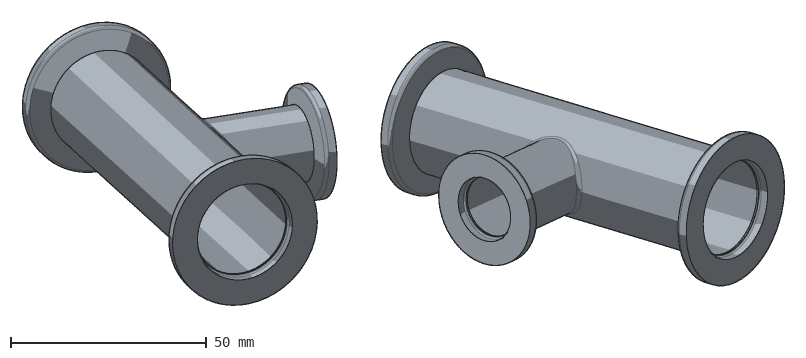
import cadquery as cq
import math

RUN_LENGTH = 100.0
BRANCH_REACH = 40.0

RUN_OUTER = 28.0
RUN_INNER = 25.0
BRANCH_OUTER = 20.0
BRANCH_INNER = 17.0
JOINT_FILLET = 1.0

RUN_FLANGE_OUTER = 40.0
RUN_RECESS = 26.2
RUN_SOCKET = 28.1
RUN_LIP_BORE = RUN_INNER
BRANCH_FLANGE_OUTER = 30.0
BRANCH_RECESS = 17.2
BRANCH_SOCKET = 20.2
BRANCH_LIP_BORE = 16.0
FLANGE_EDGE = 3.0
RIM_FILLET = 1.0
CLAMP_ANGLE = 15.0
RECESS_DEPTH = 2.5
RECESS_FILLET = 0.4
LIP_THICKNESS = 0.5
TUBE_SETBACK = RECESS_DEPTH + LIP_THICKNESS


def cylinder_along_x(diameter, length):
    """Cylinder centred on the origin."""
    return cq.Workplane("YZ").circle(diameter / 2).extrude(length / 2, both=True)


def cylinder_along_y(diameter, length):
    """Cylinder running from the origin toward +Y."""
    return cq.Workplane("XZ").circle(diameter / 2).extrude(-length)


def make_tube_tee():
    """Run and branch tubes as one body, with a rounded joint and open bores."""
    run_tube_length = RUN_LENGTH - 2 * TUBE_SETBACK
    branch_tube_length = BRANCH_REACH - TUBE_SETBACK
    tee = cylinder_along_x(RUN_OUTER, run_tube_length)
    tee = tee.union(cylinder_along_y(BRANCH_OUTER, branch_tube_length))
    saddle = tee.edges("not (%CIRCLE or %LINE)")
    tee = saddle.fillet(JOINT_FILLET)
    tee = tee.cut(cylinder_along_x(RUN_INNER, run_tube_length))
    return tee.cut(cylinder_along_y(BRANCH_INNER, branch_tube_length))


def make_flange(outer, recess, socket, tube_outer, lip_bore):
    """Clamp flange with its sealing face at Z = 0 and its conical back toward +Z."""
    outer_radius = outer / 2
    neck_radius = tube_outer / 2
    slope = math.tan(math.radians(CLAMP_ANGLE))
    thickness = FLANGE_EDGE + (outer_radius - neck_radius) * slope
    back_radius = socket / 2
    back_height = FLANGE_EDGE + (outer_radius - back_radius) * slope
    blank = (
        cq.Workplane("XZ")
        .moveTo(0, 0)
        .lineTo(outer_radius, 0)
        .lineTo(outer_radius, FLANGE_EDGE)
        .lineTo(back_radius, back_height)
        .lineTo(0, back_height)
        .close()
        .revolve(360, (0, 0, 0), (0, 1, 0))
    )
    blank = blank.edges(cq.selectors.RadiusNthSelector(-1)).edges(">Z").fillet(RIM_FILLET)
    recess_cut = cq.Workplane("XY").circle(recess / 2).extrude(RECESS_DEPTH)
    recess_cut = recess_cut.faces(">Z").edges().fillet(RECESS_FILLET)
    lip_cut = cq.Workplane("XY").circle(lip_bore / 2).extrude(thickness)
    socket_cut = cq.Workplane("XY").workplane(offset=TUBE_SETBACK).circle(socket / 2).extrude(thickness)
    return blank.cut(recess_cut).cut(lip_cut).cut(socket_cut)


def make_run_flanges():
    """One flange on each end of the run tube, sealing faces outward."""
    flanges = []
    for side in (-1, 1):
        flange = make_flange(RUN_FLANGE_OUTER, RUN_RECESS, RUN_SOCKET, RUN_OUTER, RUN_LIP_BORE)
        flange = flange.rotate((0, 0, 0), (0, 1, 0), -side * 90)
        flanges.append(flange.translate((side * RUN_LENGTH / 2, 0, 0)))
    return flanges


def make_branch_flange():
    flange = make_flange(BRANCH_FLANGE_OUTER, BRANCH_RECESS, BRANCH_SOCKET, BRANCH_OUTER, BRANCH_LIP_BORE)
    flange = flange.rotate((0, 0, 0), (1, 0, 0), 90)
    return flange.translate((0, BRANCH_REACH, 0))


tube_tee = make_tube_tee()
run_flanges = make_run_flanges()
branch_flange = make_branch_flange()

result = cq.Compound.makeCompound(
    [tube_tee.val(), *[flange.val() for flange in run_flanges], branch_flange.val()]
)